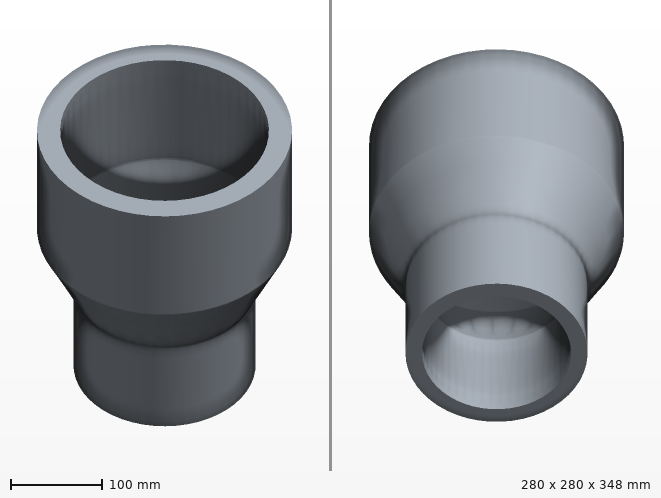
import cadquery as cq

large_diameter = 280.0
large_wall = 25.4
small_diameter = 200.0
small_wall = 18.2
total_height = 348.0
small_length = 117.0
large_length = 146.0
outer_blend_radius = 4.0
bore_blend_radius = 7.0

large_radius = large_diameter / 2
small_radius = small_diameter / 2
large_bore_radius = large_radius - large_wall
small_bore_radius = small_radius - small_wall
cone_bottom = small_length
cone_top = total_height - large_length


def blended_body(small_end_radius, large_end_radius, blend_radius):
    """Small cylinder, cone and large cylinder in one solid, with rounded cone ends."""
    body = (
        cq.Workplane("XZ")
        .lineTo(-small_end_radius, 0)
        .lineTo(-small_end_radius, cone_bottom)
        .lineTo(-large_end_radius, cone_top)
        .lineTo(-large_end_radius, total_height)
        .lineTo(0, total_height)
        .close()
        .revolve(360, (0, 0, 0), (0, 1, 0))
    )
    cone_ends = body.faces("%CONE").edges("%CIRCLE")
    return body.newObject(cone_ends.vals()).fillet(blend_radius)


outer_body = blended_body(small_radius, large_radius, outer_blend_radius)
bore = blended_body(small_bore_radius, large_bore_radius, bore_blend_radius)

result = outer_body.cut(bore)